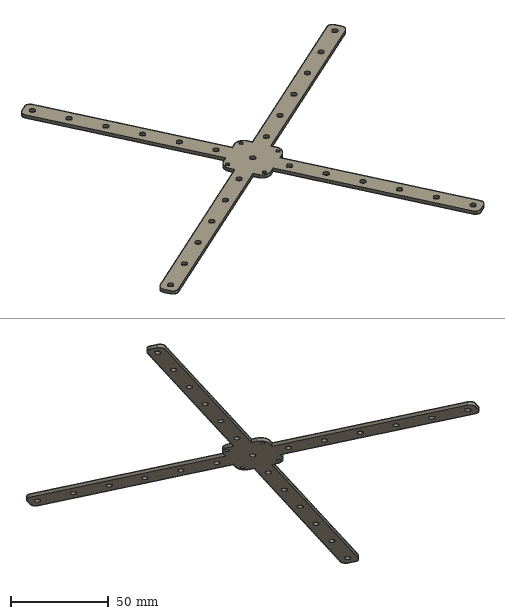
import cadquery as cq

span = 250.0
thickness = 2.0
arm_width = 10.0
arm_corner_radius = 3.0

hub_side = 26.0
hub_corner_radius = 5.0

hole_radius = 1.55
hole_pitch = 20.0
holes_per_arm = 6
hub_hole_radius = 1.02
hub_hole_spacing = 20.0


def rounded_plate(length, width, corner_radius):
    """Flat plate centred on the Z axis, with rounded vertical edges."""
    plate = cq.Workplane("XY").rect(length, width).extrude(thickness)
    return plate.edges("|Z").fillet(corner_radius)


def through_holes(points, radius):
    """Cylinders that pass through the full thickness at the given points."""
    return cq.Workplane("XY").pushPoints(points).circle(radius).extrude(thickness)


body = rounded_plate(span, arm_width, arm_corner_radius)
body = body.union(rounded_plate(arm_width, span, arm_corner_radius))
body = body.union(rounded_plate(hub_side, hub_side, hub_corner_radius))

arm_hole_points = [(0, 0)]
for step in range(1, holes_per_arm + 1):
    offset = step * hole_pitch
    arm_hole_points += [(offset, 0), (-offset, 0), (0, offset), (0, -offset)]
body = body.cut(through_holes(arm_hole_points, hole_radius))

half_spacing = hub_hole_spacing / 2
hub_hole_points = [(x, y) for x in (-half_spacing, half_spacing) for y in (-half_spacing, half_spacing)]
result = body.cut(through_holes(hub_hole_points, hub_hole_radius))